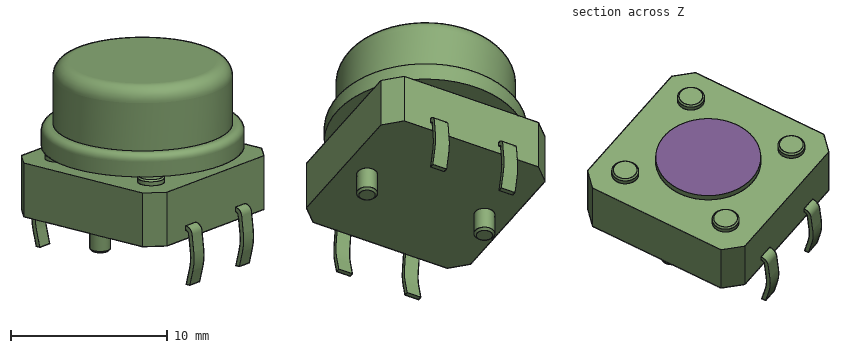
import cadquery as cq
import math

HOUSING_SIDE = 12.02
HOUSING_HEIGHT = 3.62
CORNER_CHAMFER = 1.1

PLATE_LENGTH = 10.15
PLATE_WIDTH = 9.93
PLATE_THICKNESS = 0.3

RIVET_DIAMETER = 1.73
RIVET_OFFSET = 3.84
RIVET_TOP = 4.0
RIVET_CHAMFER = 0.11

PEG_DIAMETER = 1.34
PEG_LENGTH = 1.68
PEG_OFFSET = 4.3
PEG_CHAMFER = 0.15

PLUNGER_DIAMETER = 6.75
FLANGE_DIAMETER = 13.0
FLANGE_BOTTOM = 4.3
FLANGE_HEIGHT = 1.5
FLANGE_FILLET = 0.5
BUTTON_DIAMETER = 11.5
BUTTON_TOP = 10.0
BUTTON_FILLET = 1.0

LEAD_WIDTH = 1.0
LEAD_THICKNESS = 0.3
LEAD_SPACING = 5.0
LEAD_REACH = 6.71
LEAD_BOTTOM = -3.05
BEND_RADIUS = 0.54
BEND_HEIGHT = 0.35
BELLY_RADIUS = 3.49
UPPER_LEAN = math.radians(6.8)
LOWER_LEAN = math.radians(14)


def make_block():
    block = cq.Workplane("XY").rect(HOUSING_SIDE, HOUSING_SIDE).extrude(HOUSING_HEIGHT)
    return block.edges("|Z").chamfer(CORNER_CHAMFER)


def make_plate():
    plate = cq.Workplane("XY").workplane(offset=HOUSING_HEIGHT)
    return plate.rect(PLATE_LENGTH, PLATE_WIDTH).extrude(-PLATE_THICKNESS)


def make_rivets():
    rivets = cq.Workplane("XY").workplane(offset=HOUSING_HEIGHT)
    rivets = rivets.rect(2 * RIVET_OFFSET, 2 * RIVET_OFFSET, forConstruction=True).vertices()
    rivets = rivets.circle(RIVET_DIAMETER / 2).extrude(RIVET_TOP - HOUSING_HEIGHT)
    return rivets.faces(">Z").edges().chamfer(RIVET_CHAMFER)


def make_pegs():
    pegs = cq.Workplane("XY").pushPoints([(0, -PEG_OFFSET), (0, PEG_OFFSET)])
    pegs = pegs.circle(PEG_DIAMETER / 2).extrude(-PEG_LENGTH)
    return pegs.faces("<Z").edges().chamfer(PEG_CHAMFER)


def make_plunger():
    plunger = cq.Workplane("XY").workplane(offset=HOUSING_HEIGHT)
    return plunger.circle(PLUNGER_DIAMETER / 2).extrude(FLANGE_BOTTOM - HOUSING_HEIGHT)


def make_lead():
    """One lead on the +X side, centred on y = 0."""
    bend_x = HOUSING_SIDE / 2
    belly_x = LEAD_REACH - BELLY_RADIUS
    drop = BELLY_RADIUS - BEND_RADIUS - (bend_x - belly_x) * math.cos(UPPER_LEAN)
    belly_z = BEND_HEIGHT - drop / math.sin(UPPER_LEAN)

    def on_bend(angle, inset):
        radius = BEND_RADIUS - inset
        return (bend_x + radius * math.cos(angle), BEND_HEIGHT + radius * math.sin(angle))

    def on_belly(angle, inset):
        radius = BELLY_RADIUS - inset
        return (belly_x + radius * math.cos(angle), belly_z + radius * math.sin(angle))

    def foot(inset):
        x, z = on_belly(-LOWER_LEAN, inset)
        return (x - (z - LEAD_BOTTOM) * math.tan(LOWER_LEAN), LEAD_BOTTOM)

    bend_start = math.pi / 2
    bend_middle = (bend_start + UPPER_LEAN) / 2
    outer, inner = 0, LEAD_THICKNESS
    profile = (
        cq.Workplane("XZ")
        .moveTo(*on_bend(bend_start, outer))
        .threePointArc(on_bend(bend_middle, outer), on_bend(UPPER_LEAN, outer))
        .lineTo(*on_belly(UPPER_LEAN, outer))
        .threePointArc(on_belly(0, outer), on_belly(-LOWER_LEAN, outer))
        .lineTo(*foot(outer))
        .lineTo(*foot(inner))
        .lineTo(*on_belly(-LOWER_LEAN, inner))
        .threePointArc(on_belly(0, inner), on_belly(UPPER_LEAN, inner))
        .lineTo(*on_bend(UPPER_LEAN, inner))
        .threePointArc(on_bend(bend_middle, inner), on_bend(bend_start, inner))
        .close()
    )
    return profile.extrude(LEAD_WIDTH / 2, both=True)


def make_switch():
    switch = make_block()
    for feature in (make_plate(), make_rivets(), make_pegs(), make_plunger()):
        switch = switch.union(feature, clean=False)
    right_lead = make_lead()
    left_lead = right_lead.mirror("YZ")
    for y in (-LEAD_SPACING / 2, LEAD_SPACING / 2):
        for lead in (right_lead, left_lead):
            switch = switch.union(lead.translate((0, y, 0)), clean=False)
    return switch


def make_cap():
    flange = cq.Workplane("XY").workplane(offset=FLANGE_BOTTOM).circle(FLANGE_DIAMETER / 2)
    flange = flange.extrude(FLANGE_HEIGHT).faces(">Z").edges().fillet(FLANGE_FILLET)
    button = cq.Workplane("XY").workplane(offset=FLANGE_BOTTOM).circle(BUTTON_DIAMETER / 2)
    button = button.extrude(BUTTON_TOP - FLANGE_BOTTOM).faces(">Z").edges().fillet(BUTTON_FILLET)
    return flange.union(button)


switch = make_switch()
cap = make_cap()

result = cq.Compound.makeCompound([switch.val(), cap.val()])